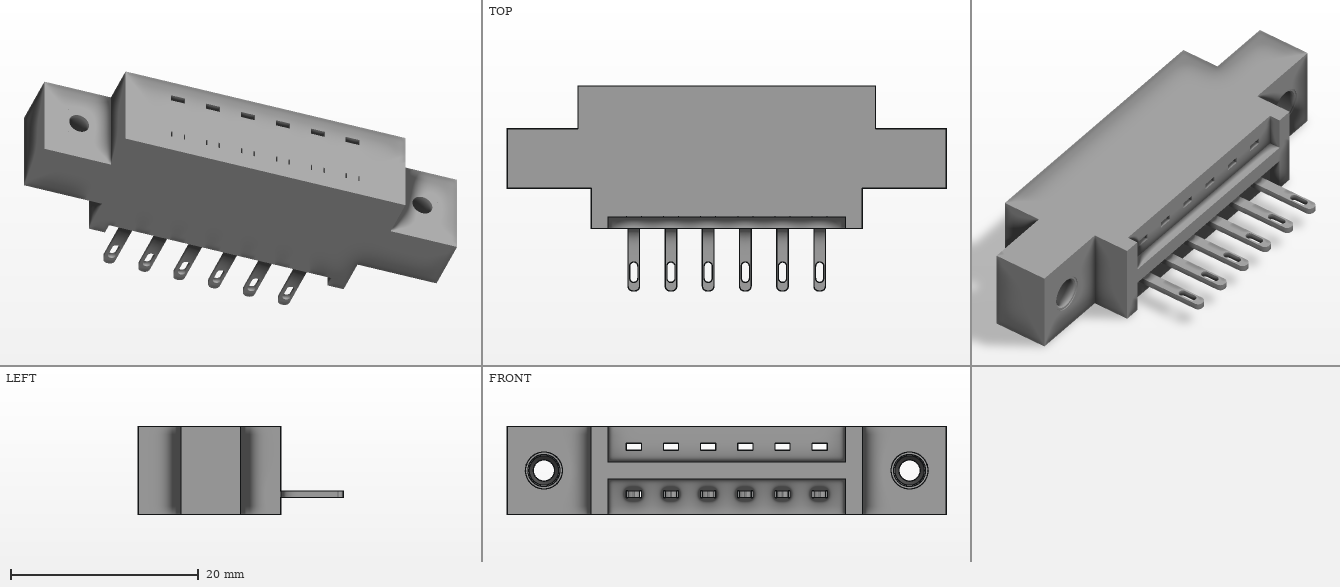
import cadquery as cq

LENGTH = 46.8
HEIGHT = 9.4
DEPTH = 15.2
FRONT_LENGTH = 28.85
BACK_LENGTH = 31.72
EAR_FRONT = 4.3
EAR_THICKNESS = 6.35
EAR_BACK = EAR_FRONT + EAR_THICKNESS

RECESS_LENGTH = 25.25
RECESS_DEPTH = 1.25
BAR_HEIGHT = 1.82
RECESS_HEIGHT = (HEIGHT - BAR_HEIGHT) / 2

CONTACT_COUNT = 6
ROW_SPAN = 19.8
CONTACT_PITCH = ROW_SPAN / (CONTACT_COUNT - 1)
ROW_OFFSET = 2.55
SLOT_WIDTH = 1.6
SLOT_HEIGHT = 0.7
CONTACT_XS = [i * CONTACT_PITCH - ROW_SPAN / 2 for i in range(CONTACT_COUNT)]

CONTACT_THICKNESS = SLOT_HEIGHT
CONTACT_WIDTH = 1.25
CONTACT_PROJECTION = 6.65
TIP_FILLET = 0.55
EYE_LENGTH = 2.15
EYE_WIDTH = 0.85
EYE_FROM_TIP = 2.0

BUSHING_OFFSET = 19.45
BUSHING_DIAMETER = 3.95
BUSHING_RECESS = 0.1
BORE_DIAMETER = 2.25
COUNTERBORE_DIAMETER = 3.15
COUNTERBORE_DEPTH = 1.6
RIM_CHAMFER = 0.15
COUNTERBORE_CONE_DEPTH = (COUNTERBORE_DIAMETER - BORE_DIAMETER) / 2
BUSHING_XS = [-BUSHING_OFFSET, BUSHING_OFFSET]


def box_at(length, depth, height, x, y_front, z):
    """Box centred on x and z whose front face lies at y_front."""
    return cq.Workplane("XY").box(length, depth, height).translate((x, y_front + depth / 2, z))


def ear_cylinder(diameter, x):
    """Cylinder through the full thickness of an ear."""
    axis_start = cq.Vector(x, EAR_FRONT, 0)
    return cq.Workplane(cq.Solid.makeCylinder(diameter / 2, EAR_THICKNESS, axis_start, cq.Vector(0, 1, 0)))


def make_housing():
    """Housing with its front recesses, contact slots and bushing holes."""
    housing = box_at(FRONT_LENGTH, EAR_FRONT, HEIGHT, 0, 0, 0)
    housing = housing.union(box_at(LENGTH, EAR_THICKNESS, HEIGHT, 0, EAR_FRONT, 0))
    housing = housing.union(box_at(BACK_LENGTH, DEPTH - EAR_BACK, HEIGHT, 0, EAR_BACK, 0))

    for side in (-1, 1):
        recess_z = side * (BAR_HEIGHT + RECESS_HEIGHT) / 2
        housing = housing.cut(box_at(RECESS_LENGTH, RECESS_DEPTH, RECESS_HEIGHT, 0, 0, recess_z))
        for x in CONTACT_XS:
            housing = housing.cut(box_at(SLOT_WIDTH, DEPTH, SLOT_HEIGHT, x, 0, side * ROW_OFFSET))

    for x in BUSHING_XS:
        housing = housing.cut(ear_cylinder(BUSHING_DIAMETER, x))
    return housing


def make_contact(x):
    """Flat contact from the back of the housing to a rounded tip in front of it."""
    strip = (
        cq.Workplane("XY")
        .box(CONTACT_WIDTH, CONTACT_PROJECTION + DEPTH, CONTACT_THICKNESS)
        .translate((0, (DEPTH - CONTACT_PROJECTION) / 2, 0))
        .edges("|Z and <Y")
        .fillet(TIP_FILLET)
    )
    eye = (
        cq.Workplane("XY")
        .center(0, EYE_FROM_TIP - CONTACT_PROJECTION)
        .slot2D(EYE_LENGTH, EYE_WIDTH, 90)
        .extrude(CONTACT_THICKNESS / 2, both=True)
    )
    return strip.cut(eye).translate((x, 0, -ROW_OFFSET))


def make_bushing(x):
    """Bushing set back in an ear, with a chamfered, cone-bottomed counterbore in front of its bore."""
    outer_radius = BUSHING_DIAMETER / 2
    bore_radius = BORE_DIAMETER / 2
    counterbore_radius = COUNTERBORE_DIAMETER / 2
    front_y = EAR_FRONT + BUSHING_RECESS
    counterbore_y = front_y + COUNTERBORE_DEPTH
    profile = [
        (outer_radius, front_y),
        (counterbore_radius + RIM_CHAMFER, front_y),
        (counterbore_radius, front_y + RIM_CHAMFER),
        (counterbore_radius, counterbore_y),
        (bore_radius, counterbore_y + COUNTERBORE_CONE_DEPTH),
        (bore_radius, EAR_BACK),
        (outer_radius, EAR_BACK),
    ]
    bushing = cq.Workplane("XY").polyline(profile).close().revolve(360, (0, 0, 0), (0, 1, 0))
    return bushing.translate((x, 0, 0))


housing = make_housing()
contacts = [make_contact(x).val() for x in CONTACT_XS]
bushings = [make_bushing(x).val() for x in BUSHING_XS]

result = cq.Compound.makeCompound([housing.val(), *contacts, *bushings])